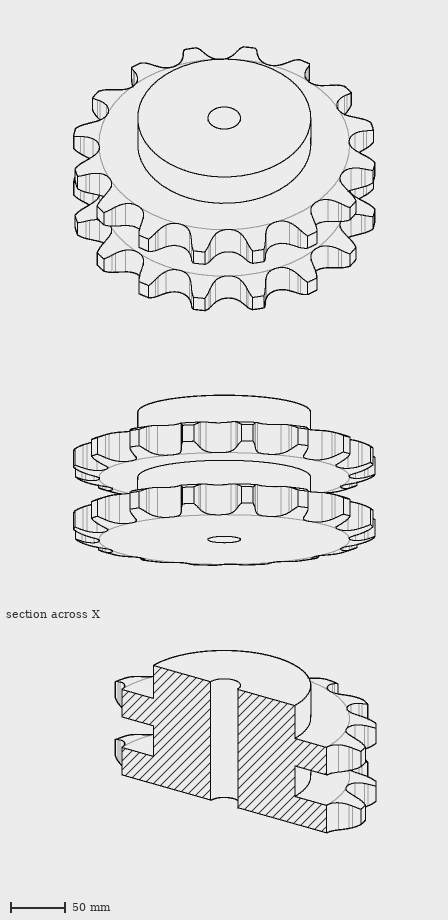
import cadquery as cq
import math

PITCH = 50.8
ROLLER_DIAMETER = 29.21
STRAND_SPACING = 58.55
STRAND_COUNT = 2

TOOTH_COUNT = 16
TIP_RADIUS = 140.45
TOOTH_WIDTH = 28.2
HUB_DIAMETER = 160.0
BORE_DIAMETER = 30.0
TOTAL_HEIGHT = 120.0
SEAT_CLEARANCE = 0.038

FACE_ARC_RADIUS = PITCH
TIP_RELIEF_DEPTH = PITCH / 8
FACE_ARC_RUN = math.sqrt(FACE_ARC_RADIUS**2 - (FACE_ARC_RADIUS - TIP_RELIEF_DEPTH) ** 2)
FLAT_FACE_RADIUS = TIP_RADIUS - FACE_ARC_RUN

TOOTH_STEP = 360.0 / TOOTH_COUNT
PITCH_RADIUS = PITCH / 2 / math.sin(math.pi / TOOTH_COUNT)
SEAT_RADIUS = 0.5025 * ROLLER_DIAMETER + SEAT_CLEARANCE
SEAT_ANGLE = 35 + 60 / TOOTH_COUNT
WORKING_ANGLE = 18 - 56 / TOOTH_COUNT
TOPPING_ANGLE = 17 - 64 / TOOTH_COUNT
WORKING_OFFSET = 0.8 * ROLLER_DIAMETER
TOPPING_OFFSET = 1.4 * ROLLER_DIAMETER
WORKING_RADIUS = WORKING_OFFSET + SEAT_RADIUS
TOPPING_RADIUS = (
    WORKING_OFFSET * math.cos(math.radians(WORKING_ANGLE))
    + TOPPING_OFFSET * math.cos(math.radians(TOPPING_ANGLE))
    - WORKING_RADIUS
)
CUT_OVERSHOOT = 5.0


def polar(center, radius, angle):
    """Point at a given radius and angle (degrees) around a centre."""
    turn = math.radians(angle)
    return (center[0] + radius * math.cos(turn), center[1] + radius * math.sin(turn))


def mirrored(point):
    """Reflect a point across the centreline of the tooth gap."""
    return (-point[0], point[1])


def tip_direction(topping_center):
    """Direction from the topping-arc centre to the point where that arc meets the tip circle."""
    distance = math.hypot(*topping_center)
    toward_axis = 180 + math.degrees(math.atan2(topping_center[1], topping_center[0]))
    cosine = (distance**2 + TOPPING_RADIUS**2 - TIP_RADIUS**2) / (2 * distance * TOPPING_RADIUS)
    return toward_axis - math.degrees(math.acos(cosine))


def tooth_gap():
    """Solid filling one tooth gap on +Y: seat, working arcs, straight flanks and topping arcs."""
    roller = (0.0, PITCH_RADIUS)
    working_center = polar(roller, WORKING_OFFSET, 180 - SEAT_ANGLE)
    topping_center = polar(roller, TOPPING_OFFSET, -TOOTH_STEP / 2)

    flank_normal = WORKING_ANGLE - SEAT_ANGLE
    topping_start_angle = 180 + flank_normal
    topping_end_angle = tip_direction(topping_center)
    topping_mid_angle = (topping_start_angle + topping_end_angle) / 2

    seat_bottom = polar(roller, SEAT_RADIUS, -90)
    seat_end = polar(roller, SEAT_RADIUS, -SEAT_ANGLE)
    working_mid = polar(working_center, WORKING_RADIUS, -SEAT_ANGLE + WORKING_ANGLE / 2)
    working_end = polar(working_center, WORKING_RADIUS, flank_normal)
    topping_start = polar(topping_center, TOPPING_RADIUS, topping_start_angle)
    topping_mid = polar(topping_center, TOPPING_RADIUS, topping_mid_angle)
    tip = polar(topping_center, TOPPING_RADIUS, topping_end_angle)
    outer = (tip[0], tip[1] + CUT_OVERSHOOT)

    return (
        cq.Workplane("XY")
        .moveTo(*mirrored(seat_end))
        .threePointArc(seat_bottom, seat_end)
        .threePointArc(working_mid, working_end)
        .lineTo(*topping_start)
        .threePointArc(topping_mid, tip)
        .lineTo(*outer)
        .lineTo(*mirrored(outer))
        .lineTo(*mirrored(tip))
        .threePointArc(mirrored(topping_mid), mirrored(topping_start))
        .lineTo(*mirrored(working_end))
        .threePointArc(mirrored(working_mid), mirrored(seat_end))
        .close()
        .extrude(TOOTH_WIDTH)
    )


def wheel_blank():
    """Disc whose rim narrows toward the tip along an arc on each side."""
    half_run = FACE_ARC_RUN / 2
    half_run_depth = FACE_ARC_RADIUS - math.sqrt(FACE_ARC_RADIUS**2 - half_run**2)
    arc_mid_radius = FLAT_FACE_RADIUS + half_run
    return (
        cq.Workplane("XZ")
        .lineTo(FLAT_FACE_RADIUS, 0)
        .threePointArc((arc_mid_radius, half_run_depth), (TIP_RADIUS, TIP_RELIEF_DEPTH))
        .lineTo(TIP_RADIUS, TOOTH_WIDTH - TIP_RELIEF_DEPTH)
        .threePointArc((arc_mid_radius, TOOTH_WIDTH - half_run_depth), (FLAT_FACE_RADIUS, TOOTH_WIDTH))
        .lineTo(0, TOOTH_WIDTH)
        .close()
        .revolve(360, (0, 0, 0), (0, 1, 0))
    )


def toothed_wheel():
    """One row of teeth, resting on Z = 0 with a tooth gap centred on +Y."""
    wheel = wheel_blank()
    gap = tooth_gap()
    for index in range(TOOTH_COUNT):
        wheel = wheel.cut(gap.rotate((0, 0, 0), (0, 0, 1), index * TOOTH_STEP))
    return wheel


def sprocket():
    """Hub with the toothed wheels stacked from its lower end and a bore along the axis."""
    body = cq.Workplane("XY").circle(HUB_DIAMETER / 2).extrude(TOTAL_HEIGHT)
    wheel = toothed_wheel()
    for strand in range(STRAND_COUNT):
        body = body.union(wheel.translate((0, 0, strand * STRAND_SPACING)))
    bore = cq.Workplane("XY").circle(BORE_DIAMETER / 2).extrude(TOTAL_HEIGHT)
    return body.cut(bore)


result = sprocket()